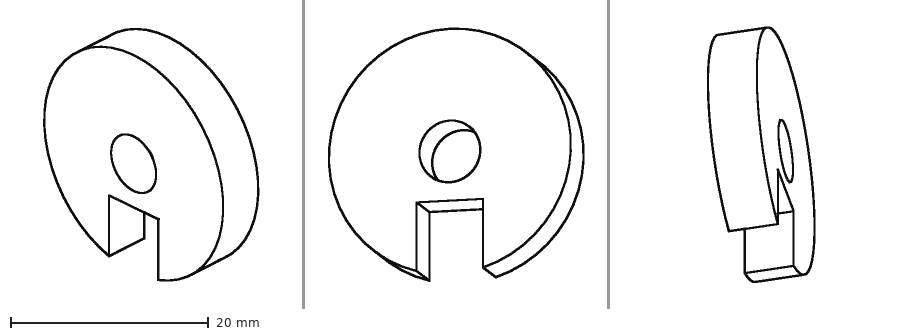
import cadquery as cq

disc_diameter = 25.32
thickness = 5.1
bore_diameter = 6.35
slot_width = 6.95
slot_top_drop = 5.1

disc_radius = disc_diameter / 2

disc = (
    cq.Workplane("XZ")
    .circle(disc_radius)
    .circle(bore_diameter / 2)
    .extrude(thickness / 2, both=True)
)

slot_height = disc_radius - slot_top_drop
slot = cq.Workplane("XY").box(slot_width, thickness, slot_height)
slot = slot.translate((0, 0, -slot_top_drop - slot_height / 2))

result = disc.cut(slot)